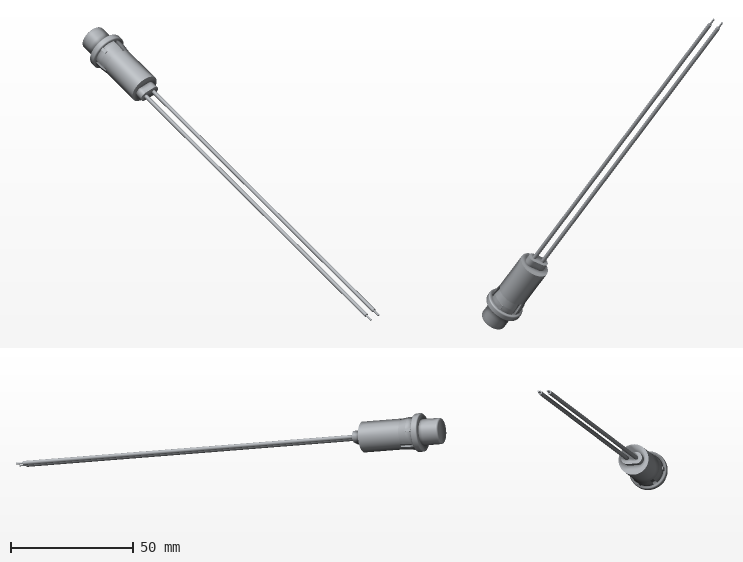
import cadquery as cq

overall_length = 186.7

lens_radius = 5.5
lens_length = 8.2
lens_edge_round = 0.7

flange_radius = 15.9 / 2
flange_thickness = 2.8
flange_edge_round = 0.5
collar_radius = 6.7
collar_length = 2.6
cone_length = 3.2
barrel_radius = 6.3
barrel_end_x = 34.5
outlet_length = 3.4
outlet_radius = 2.5

feature_count = 3

slot_width = 1.7
slot_depth = 1.1
slot_length = 6.2

key_width = 1.3
key_height = 0.4

wire_spacing = 4.0
insulation_radius = 0.84
conductor_radius = 0.4
conductor_length = 3.2

flange_end_x = lens_length + flange_thickness
collar_end_x = flange_end_x + collar_length
cone_end_x = collar_end_x + cone_length
outlet_end_x = barrel_end_x + outlet_length
insulation_end_x = overall_length - conductor_length


def rod(radius, start_x, end_x, center_y=0.0):
    """A round bar parallel to X."""
    return (
        cq.Workplane("YZ", origin=(start_x, center_y, 0))
        .circle(radius)
        .extrude(end_x - start_x)
    )


def make_lens():
    return rod(lens_radius, 0, lens_length).faces("<X").edges().fillet(lens_edge_round)


def make_slot_cutter(angle):
    """A block that cuts a flat-bottomed slot into the collar, turned about the X axis."""
    floor_radius = collar_radius - slot_depth
    return (
        cq.Workplane("XY")
        .box(slot_length, slot_depth * 2, slot_width, centered=(False, False, True))
        .translate((flange_end_x, -floor_radius - slot_depth * 2, 0))
        .rotate((0, 0, 0), (1, 0, 0), angle)
    )


def make_key(angle):
    """A raised key along the collar, turned about the X axis."""
    return (
        cq.Workplane("XY")
        .box(collar_length, collar_radius + key_height, key_width, centered=(False, False, True))
        .translate((flange_end_x, 0, 0))
        .rotate((0, 0, 0), (1, 0, 0), angle)
    )


def make_housing():
    flange = rod(flange_radius, lens_length, flange_end_x).edges().fillet(flange_edge_round)
    body = (
        cq.Workplane("XY")
        .moveTo(flange_end_x, 0)
        .lineTo(flange_end_x, collar_radius)
        .lineTo(collar_end_x, collar_radius)
        .lineTo(cone_end_x, barrel_radius)
        .lineTo(barrel_end_x, barrel_radius)
        .lineTo(barrel_end_x, 0)
        .close()
        .revolve(360, (0, 0, 0), (1, 0, 0))
    )
    for index in range(feature_count):
        angle = index * 360 / feature_count
        body = body.cut(make_slot_cutter(angle)).union(make_key(angle))

    outlet = (
        cq.Workplane("YZ", origin=(barrel_end_x, 0, 0))
        .slot2D(wire_spacing + 2 * outlet_radius, 2 * outlet_radius)
        .extrude(outlet_length)
    )
    return flange.union(body).union(outlet)


def make_insulation(center_y):
    return rod(insulation_radius, outlet_end_x, insulation_end_x, center_y)


def make_conductor(center_y):
    """The bare wire end that projects from the insulation."""
    return rod(conductor_radius, insulation_end_x, overall_length, center_y)


bodies = [make_lens().val(), make_housing().val()]
for wire_y in (-wire_spacing / 2, wire_spacing / 2):
    bodies.append(make_insulation(wire_y).val())
    bodies.append(make_conductor(wire_y).val())

result = cq.Compound.makeCompound(bodies)